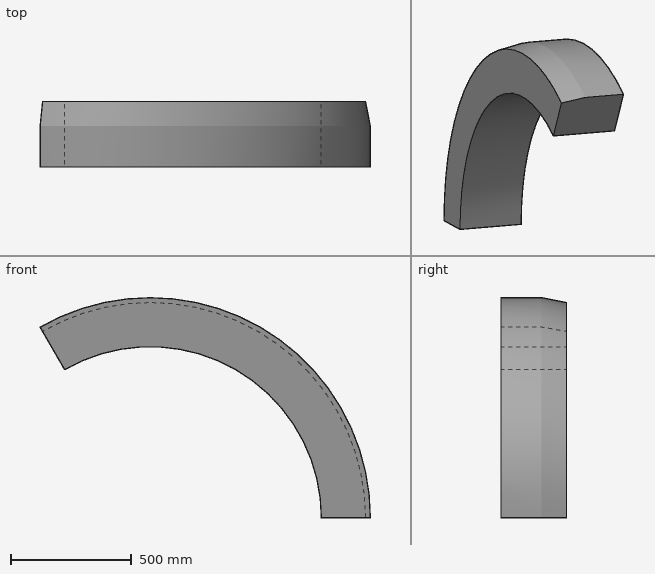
import cadquery as cq
import math

overall_length = 1369.0
sweep_angle = 120.0
radial_thickness = 204.0
depth = 272.0
taper_depth = 103.0
taper_drop = 20.0

outer_radius = overall_length / (1 - math.cos(math.radians(sweep_angle)))
inner_radius = outer_radius - radial_thickness

section = (
    cq.Workplane("XY")
    .moveTo(inner_radius, 0)
    .lineTo(outer_radius, 0)
    .lineTo(outer_radius, depth - taper_depth)
    .lineTo(outer_radius - taper_drop, depth)
    .lineTo(inner_radius, depth)
    .close()
)

result = section.revolve(sweep_angle, (0, 0, 0), (0, -1, 0))